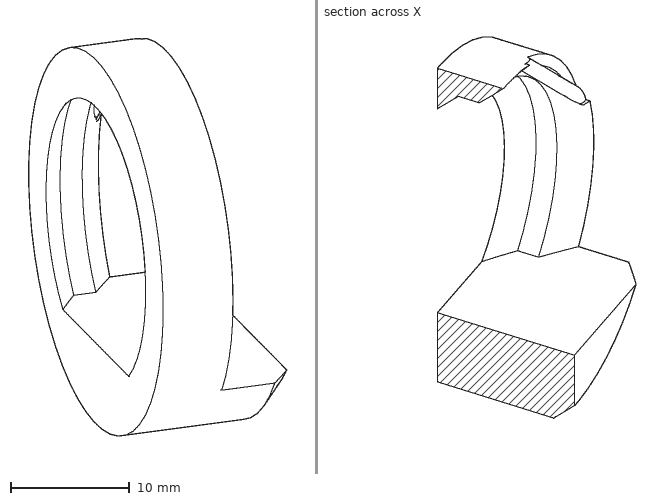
import cadquery as cq

outer_radius = 16.5
ring_depth = 6.27

bore_radius = 12.2
groove_radius = 14.2
groove_start = groove_radius - bore_radius
groove_end = ring_depth - (outer_radius - groove_radius)

shelf_top = -9.17
overall_depth = 13.0
shelf_chamfer = 1.98

bar_radius = 0.63
bar_distance = 14.62
bar_depth = 5.25
notch_width = 15.65
bar_tilt = -45.0

block_size = 4 * outer_radius


def disc(depth):
    """Full-diameter cylinder running back along Y from the front face."""
    return cq.Workplane("XZ").circle(outer_radius).extrude(-depth)


def below_shelf_top():
    """Block that covers everything under the shelf's top plane."""
    block = cq.Workplane("XY").box(block_size, block_size, block_size)
    return block.translate((0, 0, shelf_top - block_size / 2))


def bore():
    """Stepped and tapered bore, revolved about Y and flat along the bottom."""
    profile = (
        cq.Workplane("XY")
        .lineTo(bore_radius, 0)
        .lineTo(groove_radius, groove_start)
        .lineTo(groove_radius, groove_end)
        .lineTo(outer_radius, ring_depth)
        .lineTo(0, ring_depth)
        .close()
    )
    return profile.revolve(360, (0, 0, 0), (0, 1, 0)).cut(below_shelf_top())


def shelf():
    """Segment under the flat, with its curved rear edge chamfered."""
    return disc(overall_depth).faces(">Y").chamfer(shelf_chamfer).intersect(below_shelf_top())


def turn_to_bar(body):
    """Swing a body from the top of the ring round to the bar's place."""
    return body.rotate((0, 0, 0), (0, 1, 0), bar_tilt)


def rim_notch():
    """Square-ended cut through the rim, from the bar's inner side outward and open to the rear."""
    block = cq.Workplane("XY").box(notch_width, block_size, block_size, centered=(True, False, False))
    return turn_to_bar(block.translate((0, bar_depth, bar_distance - bar_radius)))


def rim_bar():
    """Straight round bar along the notch, trimmed to the ring's outside."""
    rod = cq.Workplane("YZ").center(bar_depth, bar_distance).circle(bar_radius)
    return turn_to_bar(rod.extrude(outer_radius, both=True)).intersect(disc(ring_depth))


ring = disc(ring_depth).cut(bore()).cut(rim_notch()).union(rim_bar())
result = ring.union(shelf())